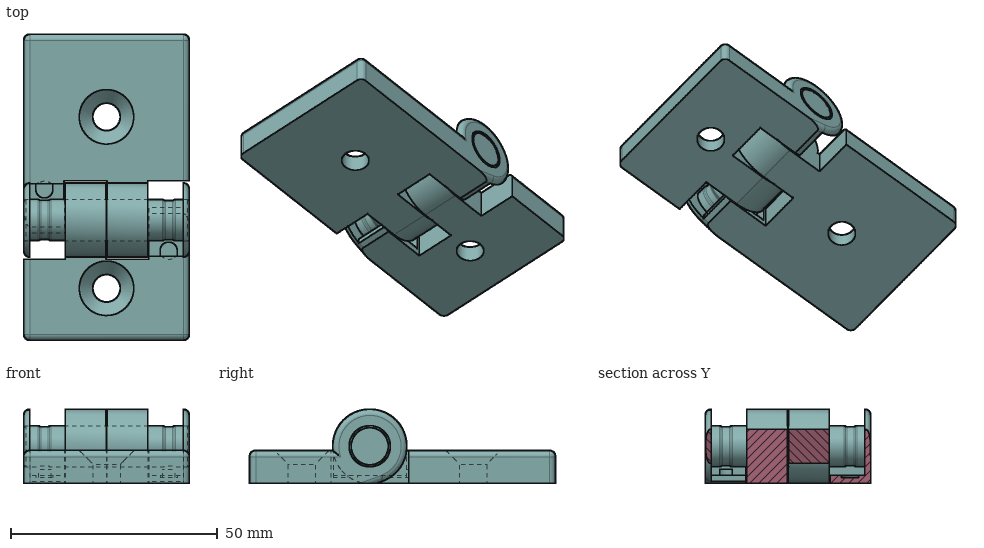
import cadquery as cq
import math

WIDTH = 40.0
LENGTH = 74.0
PLATE_T = 8.0
EDGE_R = 1.5
BARREL_D = 18.0
AXIS_Y = -7.9
NOTCH_Y = 9.5
SIDE_GAP = 0.2
KNUCKLE_END = 10.0

DISC_T = EDGE_R
RIM_LAND = 0.01
ROOT_OVERLAP = 0.1
TAIL_ANGLE = 20.0

BAY_WALL_Y = 8.8
FLOOR_T = 2.0
RECESS_R = 2.1
RECESS_LEN = 3.5
RECESS_DEPTH = 0.5

HOLE_D = 6.6
SINK_D = 13.2
SINK_ANGLE = 90.0
REAR_HOLE_Y = 17.0
FRONT_HOLE_Y = -24.4

PIN_D = 10.0
PIN_CHAMFER = 0.5
GROOVE_X = 15.0
GROOVE_DEPTH = 0.26
GROOVE_FLOOR = 1.6
GROOVE_MOUTH = 3.1

HALF_W = WIDTH / 2
BARREL_R = BARREL_D / 2
PIN_R = PIN_D / 2
AXIS_Z = BARREL_R
DISC_INNER = HALF_W - DISC_T
KNUCKLE_START = SIDE_GAP / 2
BAY_END = KNUCKLE_END + SIDE_GAP
REAR_REACH = LENGTH / 2 - AXIS_Y
FRONT_REACH = LENGTH / 2 + AXIS_Y
TAIL = math.radians(TAIL_ANGLE)
TAIL_Y = -BARREL_R * math.sin(TAIL)
TAIL_Z = AXIS_Z - BARREL_R * math.cos(TAIL)
ROOT_Z = PLATE_T - EDGE_R
ROOT_Y = math.sqrt(BARREL_R**2 - (AXIS_Z - ROOT_Z) ** 2)



def block(x_range, y_range, z_range):
    (x0, x1), (y0, y1), (z0, z1) = x_range, y_range, z_range
    return cq.Workplane("XY").box(x1 - x0, y1 - y0, z1 - z0, centered=False).translate((x0, y0, z0))


def axial_cylinder(radius, x0, x1):
    """Cylinder about the hinge axis."""
    return cq.Workplane("YZ", origin=(x0, 0, AXIS_Z)).circle(radius).extrude(x1 - x0)


def plate(reach):
    """Plate with rounded free edges, stepped back along the hinge side."""
    body = block((-HALF_W, HALF_W), (ROOT_Y - EDGE_R - ROOT_OVERLAP, reach), (0, PLATE_T))
    body = body.edges("|Z and >Y").fillet(EDGE_R)
    body = body.faces(">Z").edges("not <Y").fillet(EDGE_R)
    other_knuckle = block((-BAY_END, KNUCKLE_START), (0, NOTCH_Y), (0, PLATE_T))
    other_disc = block((KNUCKLE_END, HALF_W), (0, NOTCH_Y), (0, PLATE_T))
    bay = block((-DISC_INNER, -BAY_END), (0, BAY_WALL_Y), (FLOOR_T, PLATE_T))
    return body.cut(other_knuckle).cut(other_disc).cut(bay)


def disc_outline(x):
    """Barrel circle whose underside leaves along the tail slope, on the plane at x."""
    below_base = TAIL_Z - (ROOT_Y - TAIL_Y) * math.tan(TAIL)
    return (
        cq.Workplane("YZ", origin=(x, 0, 0))
        .moveTo(ROOT_Y, ROOT_Z)
        .threePointArc((0, AXIS_Z + BARREL_R), (TAIL_Y, TAIL_Z))
        .lineTo(ROOT_Y, below_base)
        .close()
    )


def above_base(body):
    """Trim away everything under the base plane."""
    return body.intersect(block((-WIDTH, WIDTH), (-LENGTH, LENGTH), (0, LENGTH)))


def end_disc():
    """Disc with a fully rounded outer rim and a sloped tail, flush with the plate side."""
    disc = disc_outline(-HALF_W).extrude(DISC_T)
    return above_base(disc.faces("<X").edges().fillet(DISC_T - RIM_LAND))


def bay_floor():
    """Flat floor under the pin, joining the disc to the rest of the leaf."""
    floor = above_base(disc_outline(-DISC_INNER).extrude(DISC_INNER - BAY_END))
    return floor.intersect(block((-DISC_INNER, -BAY_END), (TAIL_Y, NOTCH_Y), (0, FLOOR_T)))


def knuckle():
    """Knuckle barrel blended into the plate by a solid web."""
    web = block((KNUCKLE_START, KNUCKLE_END), (0, NOTCH_Y), (0, PLATE_T))
    return axial_cylinder(BARREL_R, KNUCKLE_START, KNUCKLE_END).union(web)


def floor_recess():
    """Round-ended recess in the bay floor, open toward the plate wall."""
    centre_y = BAY_WALL_Y - RECESS_LEN + RECESS_R
    round_end = cq.Workplane("XY").center(-GROOVE_X, centre_y).circle(RECESS_R).extrude(FLOOR_T)
    x_range = (-GROOVE_X - RECESS_R, -GROOVE_X + RECESS_R)
    straight = block(x_range, (centre_y, BAY_WALL_Y), (0, FLOOR_T))
    return round_end.union(straight).translate((0, 0, FLOOR_T - RECESS_DEPTH))


def leaf(reach, hole_distance):
    """One complete leaf; hole_distance runs from the hinge axis to the screw hole."""
    body = plate(reach).union(end_disc()).union(bay_floor()).union(knuckle())
    body = body.cut(floor_recess()).cut(axial_cylinder(PIN_R, -HALF_W, HALF_W))
    hole_top = cq.Workplane("XY", origin=(0, hole_distance, PLATE_T))
    return body.copyWorkplane(hole_top).center(0, 0).cskHole(HOLE_D, SINK_D, SINK_ANGLE)


def pin_outline():
    """Half section of the pin on the -Y side of its axis, running from -X to +X."""
    floor_y = GROOVE_DEPTH - PIN_R
    mid_y = GROOVE_DEPTH / 2 - PIN_R
    mid_half = (GROOVE_FLOOR + GROOVE_MOUTH) / 4
    outline = (
        cq.Workplane("XY")
        .moveTo(-HALF_W, 0)
        .lineTo(-HALF_W, PIN_CHAMFER - PIN_R)
        .lineTo(-HALF_W + PIN_CHAMFER, -PIN_R)
    )
    for groove_x in (-GROOVE_X, GROOVE_X):
        outline = (
            outline.lineTo(groove_x - GROOVE_MOUTH / 2, -PIN_R)
            .tangentArcPoint((groove_x - mid_half, mid_y), relative=False)
            .tangentArcPoint((groove_x - GROOVE_FLOOR / 2, floor_y), relative=False)
            .lineTo(groove_x + GROOVE_FLOOR / 2, floor_y)
            .tangentArcPoint((groove_x + mid_half, mid_y), relative=False)
            .tangentArcPoint((groove_x + GROOVE_MOUTH / 2, -PIN_R), relative=False)
        )
    return (
        outline.lineTo(HALF_W - PIN_CHAMFER, -PIN_R)
        .lineTo(HALF_W, PIN_CHAMFER - PIN_R)
        .lineTo(HALF_W, 0)
        .close()
    )


def hinge_pin():
    """Pin with chamfered ends and a shallow snap groove in each bay."""
    return pin_outline().revolve(360, (0, 0, 0), (1, 0, 0)).translate((0, 0, AXIS_Z))


rear_leaf = leaf(REAR_REACH, REAR_HOLE_Y - AXIS_Y).translate((0, AXIS_Y, 0))
front_leaf = leaf(FRONT_REACH, AXIS_Y - FRONT_HOLE_Y).rotate((0, 0, 0), (0, 0, 1), 180)
front_leaf = front_leaf.translate((0, AXIS_Y, 0))
pin = hinge_pin().translate((0, AXIS_Y, 0))

result = cq.Compound.makeCompound([rear_leaf.val(), front_leaf.val(), pin.val()])